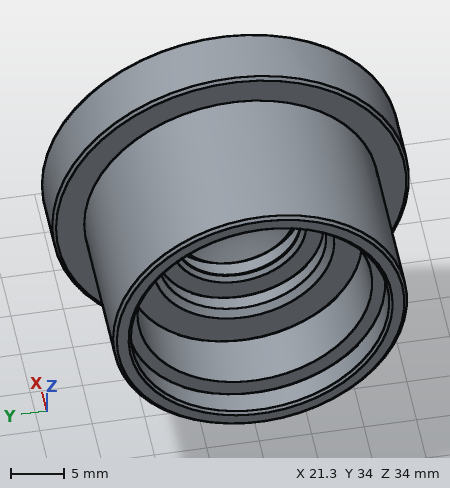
import cadquery as cq
import math

total_length = 21.3
flange_radius = 17.0
flange_thickness = 6.0
sleeve_radius = 14.0
edge_chamfer = 0.3

mouth_radius = 12.3
mouth_chamfer = 0.27
mouth_depth = 3.0
main_bore_radius = 11.2
main_bore_depth = 8.8
counterbore_radius = 8.0
counterbore_chamfer = 0.65
counterbore_depth = 11.4
aperture_radius = 12.0 / 2
aperture_chamfer = 0.45
aperture_land = 0.15

relief_size = 0.5

chamber_radius = aperture_radius + relief_size
ridge_radius = 5.8
ridge_depth = 13.25
dome_rim_angle = 40.0


def turned_body():
    """Sleeve and flange, with the outer edges chamfered."""
    flange_face = total_length - flange_thickness
    flange = (
        cq.Workplane("YZ")
        .workplane(offset=flange_face)
        .circle(flange_radius)
        .extrude(flange_thickness)
        .edges("%CIRCLE")
        .chamfer(edge_chamfer)
    )
    sleeve = (
        cq.Workplane("YZ")
        .circle(sleeve_radius)
        .extrude(flange_face)
        .faces("<X")
        .edges("%CIRCLE")
        .chamfer(edge_chamfer)
    )
    return sleeve.union(flange)


def cylinder(start, end, radius):
    """Solid cylinder on the X axis between two depths."""
    return cq.Workplane("YZ").workplane(offset=start).circle(radius).extrude(end - start)


def lead_in(start, radius, chamfer):
    """45 degree cone that narrows to the given radius."""
    cone = cq.Solid.makeCone(
        radius + chamfer, radius, chamfer, pnt=cq.Vector(start, 0, 0), dir=cq.Vector(1, 0, 0)
    )
    return cq.Workplane(obj=cone)


def relief(step_end, radius):
    """Disc that widens the last stretch of a bore step into a relief groove."""
    return cylinder(step_end - relief_size, step_end, radius + relief_size)


def chamber(start):
    """Chamber from the aperture to the ridge, with the spherical hollow inside the ridge."""
    corner_depth = ridge_depth + chamber_radius - ridge_radius
    rim_angle = math.radians(dome_rim_angle)
    sphere_radius = ridge_radius / math.sin(rim_angle)
    center_x = ridge_depth - sphere_radius * math.cos(rim_angle)
    arc_middle = (
        center_x + sphere_radius * math.cos(rim_angle / 2),
        sphere_radius * math.sin(rim_angle / 2),
    )
    return (
        cq.Workplane("XY")
        .moveTo(start, 0)
        .lineTo(start, chamber_radius)
        .lineTo(corner_depth, chamber_radius)
        .lineTo(ridge_depth, ridge_radius)
        .threePointArc(arc_middle, (center_x + sphere_radius, 0))
        .close()
        .revolve(360, (0, 0, 0), (1, 0, 0))
    )


bore_steps = [
    (0, mouth_depth, mouth_radius, mouth_chamfer),
    (mouth_depth, main_bore_depth, main_bore_radius, None),
    (main_bore_depth, counterbore_depth, counterbore_radius, counterbore_chamfer),
]

result = turned_body()
for start, end, radius, chamfer in bore_steps:
    result = result.cut(cylinder(start, end, radius))
    result = result.cut(relief(end, radius))
    if chamfer is not None:
        result = result.cut(lead_in(start, radius, chamfer))

aperture_end = counterbore_depth + aperture_chamfer + aperture_land
result = result.cut(cylinder(counterbore_depth, aperture_end, aperture_radius))
result = result.cut(lead_in(counterbore_depth, aperture_radius, aperture_chamfer))
result = result.cut(chamber(aperture_end))